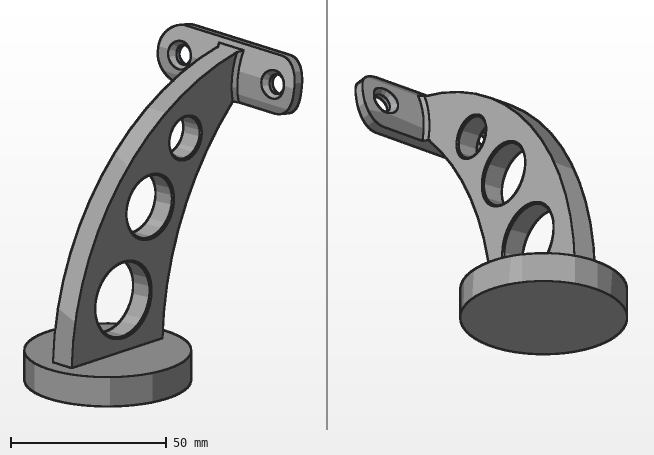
import cadquery as cq
import math

base_diameter = 54.0
base_height = 10.0

arm_thickness = 8.4
arm_foot_half_width = 21.0
outer_arc_middle = (15.1, 81.1)
inner_arc_middle = (33.2, 55.8)

arm_holes = [
    (2.9, 27.5, 25.0),
    (15.3, 56.2, 21.0),
    (31.6, 75.7, 14.0),
]
hole_chamfer = 0.5

rail_axis_y = 79.2
rail_axis_z = 87.9
saddle_tilt = 10.0
saddle_outer_radius = 50.0 / 2
saddle_thickness = 3.5
saddle_inner_radius = saddle_outer_radius - saddle_thickness
saddle_length = 61.3
saddle_width = 19.3
saddle_corner_radius = 9.0

flare_size = 1.3
flare_foot_offset = 7.7
flare_tip_offset = 6.9

screw_spacing = 42.0
screw_diameter = 6.5
countersink_diameter = 10.0
countersink_angle = 82.0
screw_drill_depth = 6.1


def saddle_point(distance, across):
    """(Y, Z) of a point given along the tilted saddle axis and across it."""
    tilt = math.radians(saddle_tilt)
    y = rail_axis_y - distance * math.cos(tilt) + across * math.sin(tilt)
    z = rail_axis_z + distance * math.sin(tilt) + across * math.cos(tilt)
    return (y, z)


def point_at_radius(radius, across):
    """(Y, Z) of a point at a radius from the rail axis."""
    return saddle_point(math.sqrt(radius**2 - across**2), across)


def rail_cylinder(radius):
    """Solid cylinder on the rail axis, as long as the saddle."""
    return (
        cq.Workplane("YZ")
        .center(rail_axis_y, rail_axis_z)
        .circle(radius)
        .extrude(saddle_length / 2, both=True)
    )


def saddle_plane(distance):
    """Plane facing away from the rail, at a distance from its axis."""
    y, z = saddle_point(distance, 0)
    tilt = math.radians(saddle_tilt)
    return cq.Plane(
        origin=(0, y, z),
        xDir=(1, 0, 0),
        normal=(0, -math.cos(tilt), math.sin(tilt)),
    )


def make_base():
    return cq.Workplane("XY").circle(base_diameter / 2).extrude(base_height)


def make_saddle():
    blank = (
        cq.Workplane(saddle_plane(0))
        .sketch()
        .rect(saddle_length, saddle_width)
        .vertices()
        .fillet(saddle_corner_radius)
        .finalize()
        .extrude(saddle_outer_radius)
    )
    shell = rail_cylinder(saddle_outer_radius).cut(rail_cylinder(saddle_inner_radius))
    return shell.intersect(blank)


def arm_slab(thickness):
    """Arm outline, run on to the rail axis, as a slab of the given thickness."""
    flare_radius = saddle_outer_radius + flare_size
    lower_edge = -saddle_width / 2
    return (
        cq.Workplane("YZ")
        .moveTo(-arm_foot_half_width, base_height)
        .threePointArc(outer_arc_middle, point_at_radius(flare_radius, flare_tip_offset))
        .lineTo(*point_at_radius(saddle_outer_radius, flare_foot_offset))
        .lineTo(rail_axis_y, rail_axis_z)
        .lineTo(*point_at_radius(saddle_outer_radius, lower_edge))
        .lineTo(*point_at_radius(flare_radius, lower_edge))
        .threePointArc(inner_arc_middle, (arm_foot_half_width, base_height))
        .close()
        .extrude(thickness / 2, both=True)
    )


def flare_ring():
    """Ring around the rail axis that tapers from the saddle to the arm's thickness."""
    tip_half = arm_thickness / 2
    foot_half = tip_half + flare_size
    root_radius = saddle_outer_radius - saddle_thickness / 2
    flare_radius = saddle_outer_radius + flare_size
    return (
        cq.Workplane("XY", origin=(0, rail_axis_y, rail_axis_z))
        .moveTo(-foot_half, root_radius)
        .lineTo(foot_half, root_radius)
        .lineTo(foot_half, saddle_outer_radius)
        .lineTo(tip_half, flare_radius)
        .lineTo(-tip_half, flare_radius)
        .lineTo(-foot_half, saddle_outer_radius)
        .close()
        .revolve(360, (0, 0, 0), (1, 0, 0))
    )


def make_arm():
    flare = arm_slab(arm_thickness + 2 * flare_size).intersect(flare_ring())
    root = rail_cylinder(saddle_outer_radius - saddle_thickness / 2)
    return arm_slab(arm_thickness).cut(root).union(flare)


def cut_arm_holes(body):
    for y, z, diameter in arm_holes:
        hole = (
            cq.Workplane("YZ", origin=(0, y, z))
            .circle(diameter / 2)
            .extrude(arm_thickness / 2, both=True)
        )
        for side in (-1, 1):
            bevel = (
                cq.Workplane("YZ", origin=(side * arm_thickness / 2, y, z))
                .circle(diameter / 2 + hole_chamfer)
                .extrude(-side * hole_chamfer, taper=45)
            )
            hole = hole.union(bevel)
        body = body.cut(hole)
    return body


def cut_screw_holes(body):
    return (
        body.copyWorkplane(cq.Workplane(saddle_plane(saddle_outer_radius)))
        .rarray(screw_spacing, 1, 2, 1)
        .cskHole(screw_diameter, countersink_diameter, countersink_angle, depth=screw_drill_depth)
    )


result = make_base().union(make_arm()).union(make_saddle())
result = cut_arm_holes(result)
result = cut_screw_holes(result)